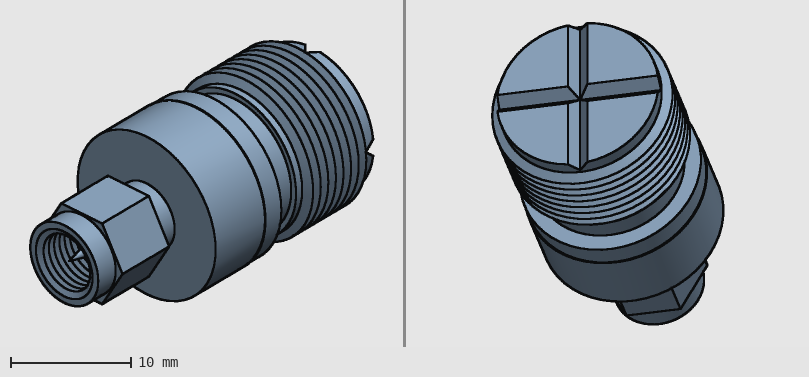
import cadquery as cq
import math


NUT_FRONT = 2.15
NUT_BACK = 7.9
BODY_FRONT = 10.15
BODY_BACK = 16.3
COLLAR_BACK = 18.32
NECK_BACK = 21.05
LENGTH = 30.61

BODY_RADIUS = 7.81
COLLAR_RADIUS = 7.74
NECK_RADIUS = 6.35
BARREL_RADIUS = 6.9
STEM_RADIUS = 3.18
SLEEVE_RADIUS = 3.85
NUT_ACROSS_FLATS = 8.0

HEIGHT_PER_PITCH = math.cos(math.radians(30))
BARREL_THREAD_PITCH = 0.936
BARREL_THREAD_COUNT = 8
BARREL_THREAD_START = 21.8

PLUG_THREAD_PITCH = 0.65
PLUG_THREAD_COUNT = 8
PLUG_BORE_RADIUS = 3.2
PLUG_BORE_DEPTH = PLUG_THREAD_COUNT * PLUG_THREAD_PITCH

PIN_RADIUS = 0.38
PIN_TIP_LENGTH = 1.6
PIN_TIP_Y = 0.6

NOTCH_WIDTH = 1.66
NOTCH_DEPTH = 1.0


def revolve_profile(points):
    """Turn a closed (radius, Y) outline about the Y axis."""
    return cq.Workplane("XY").polyline(points).close().revolve(360, (0, 0, 0), (0, 1, 0))


def cylinder(radius, y_start, y_end):
    return revolve_profile([(0, y_start), (radius, y_start), (radius, y_end), (0, y_end)])


def thread_points(root_radius, tip_radius, pitch, count, y_start):
    """Zigzag from root to tip and back, once per pitch."""
    points = [(root_radius, y_start)]
    for turn in range(count):
        y_turn = y_start + turn * pitch
        points.append((tip_radius, y_turn + pitch / 2))
        points.append((root_radius, y_turn + pitch))
    return points


def threaded_barrel():
    crest_radius = BARREL_RADIUS + BARREL_THREAD_PITCH * HEIGHT_PER_PITCH
    thread = thread_points(
        BARREL_RADIUS, crest_radius, BARREL_THREAD_PITCH, BARREL_THREAD_COUNT, BARREL_THREAD_START
    )
    foot = [(0, NECK_BACK), (BARREL_RADIUS, NECK_BACK)]
    end = [(BARREL_RADIUS, LENGTH), (0, LENGTH)]
    return revolve_profile(foot + thread + end)


def hex_nut():
    across_corners = NUT_ACROSS_FLATS / math.cos(math.radians(30))
    nut = cq.Workplane("XZ").polygon(6, across_corners).extrude(NUT_FRONT - NUT_BACK)
    return nut.translate((0, NUT_FRONT, 0))


def plug_bore():
    """Threaded bore of the plug, from the mouth to a flat floor."""
    minor_radius = PLUG_BORE_RADIUS - PLUG_THREAD_PITCH * HEIGHT_PER_PITCH
    thread = thread_points(PLUG_BORE_RADIUS, minor_radius, PLUG_THREAD_PITCH, PLUG_THREAD_COUNT, 0)
    return revolve_profile([(0, 0)] + thread + [(0, PLUG_BORE_DEPTH)])


def centre_pin():
    shoulder_y = PIN_TIP_Y + PIN_TIP_LENGTH
    return revolve_profile(
        [(0, PIN_TIP_Y), (PIN_RADIUS, shoulder_y), (PIN_RADIUS, PLUG_BORE_DEPTH), (0, PLUG_BORE_DEPTH)]
    )


def end_notch():
    """V groove along Z across the whole socket end."""
    half_width = NOTCH_WIDTH / 2
    outline = [(-half_width, LENGTH), (half_width, LENGTH), (0, LENGTH - NOTCH_DEPTH)]
    return cq.Workplane("XY").polyline(outline).close().extrude(BODY_RADIUS, both=True)


def build_connector():
    connector = cylinder(BODY_RADIUS, BODY_FRONT, BODY_BACK)
    connector = connector.union(cylinder(COLLAR_RADIUS, BODY_BACK, COLLAR_BACK))
    connector = connector.union(cylinder(NECK_RADIUS, COLLAR_BACK, NECK_BACK))
    connector = connector.union(threaded_barrel())
    connector = connector.union(cylinder(STEM_RADIUS, NUT_BACK, BODY_FRONT))
    connector = connector.union(hex_nut())
    connector = connector.union(cylinder(SLEEVE_RADIUS, 0, NUT_FRONT))
    connector = connector.cut(plug_bore())
    connector = connector.union(centre_pin())
    for angle in (0, 90):
        connector = connector.cut(end_notch().rotate((0, 0, 0), (0, 1, 0), angle))
    return connector


result = build_connector()